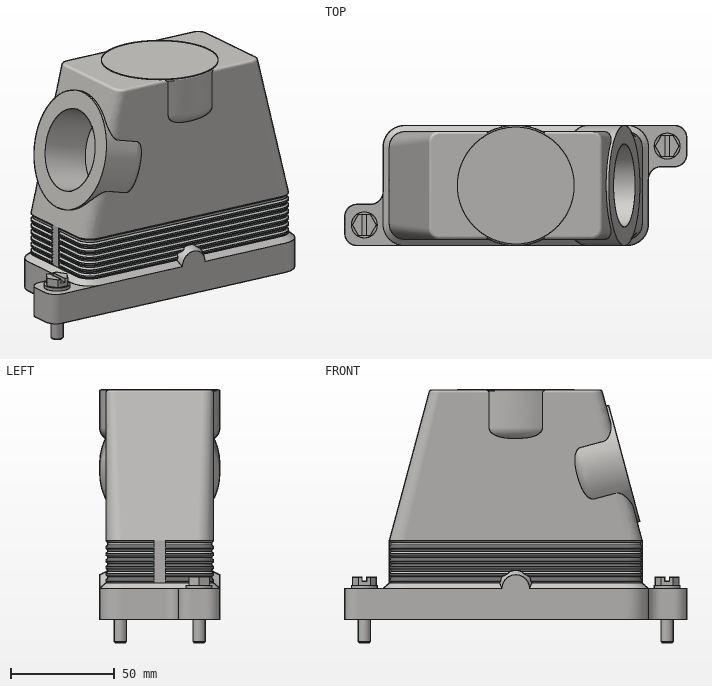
import cadquery as cq
import math

flange_length = 128.0
flange_width = 58.0
flange_height = 15.0
flange_corner = 10.5

ear_reach = 82.5
ear_width = 20.0
ear_corner = 6.0

collar_inset = 3.0
collar_height = 2.6

band_top = 38.0
band_depth = 0.9
rib_count = 6
rib_pitch = 3.2
rib_crest = 0.7
rib_first_drop = 3.3
pad_width = 5.5

hood_top = 110.7
end_slope = 15.0
hood_top_corner = 5.0
top_edge_radius = 1.4

boss_diameter = 58.0
boss_depth = 24.3
boss_inner_radius = 6.0
boss_rim_radius = 0.5
lid_diameter = 56.4
lid_height = 0.3
side_boss_height = 75.3
side_boss_proud = 1.3
bore_diameter = 40.0

bump_face_radius = 6.6
bump_root_radius = 8.6

screw_x = 73.0
shank_diameter = 6.0
shank_reach = 11.2
shank_chamfer = 0.6
washer_diameter = 12.5
washer_height = 1.5
head_across_flats = 10.0
head_height = 4.0
slot_width = 2.2
slot_depth = 2.0

collar_top = flange_height + collar_height
hood_length = flange_length - 2 * collar_inset
hood_width = flange_width - 2 * collar_inset
hood_corner = flange_corner - collar_inset
slope = math.radians(end_slope)
hood_top_length = hood_length - 2 * (hood_top - band_top) * math.tan(slope)
ear_y = (flange_width - ear_width) / 2
screw_places = [(-screw_x, -ear_y), (screw_x, ear_y)]


def rounded_block(length, width, height, corner, bottom):
    """Upright block with rounded vertical edges, centred on the Z axis."""
    block = cq.Workplane("XY", origin=(0, 0, bottom)).rect(length, width).extrude(height)
    return block.edges("|Z").fillet(corner)


def rounded_outline(length, width, corner, height):
    """Rounded rectangle at one height, for lofting."""
    outline = cq.Sketch().rect(length, width).vertices().fillet(corner)
    return outline.moved(cq.Location(cq.Vector(0, 0, height)))


def loft(lower, upper):
    return cq.Workplane("XY").placeSketch(lower, upper).loft(ruled=True)


def make_flange():
    """Rounded base plate with one ear at each of two opposite corners."""
    flange = rounded_block(flange_length, flange_width, flange_height, flange_corner, 0)
    half_length = flange_length / 2
    inner_y = flange_width / 2 - ear_width
    root_x = half_length - flange_corner
    for turn in (0, 180):
        ear = (
            cq.Workplane("XY")
            .moveTo(root_x, flange_width / 2)
            .lineTo(ear_reach - ear_corner, flange_width / 2)
            .radiusArc((ear_reach, flange_width / 2 - ear_corner), ear_corner)
            .lineTo(ear_reach, inner_y + ear_corner)
            .radiusArc((ear_reach - ear_corner, inner_y), ear_corner)
            .lineTo(half_length + ear_corner, inner_y)
            .radiusArc((half_length, inner_y - ear_corner), -ear_corner)
            .lineTo(root_x, inner_y - ear_corner)
            .close()
            .extrude(flange_height)
        )
        flange = flange.union(ear.rotate((0, 0, 0), (0, 0, 1), turn))
    return flange


def make_collar():
    """Sloping step from the flange outline in to the hood outline."""
    return loft(
        rounded_outline(flange_length, flange_width, flange_corner, flange_height),
        rounded_outline(hood_length, hood_width, hood_corner, collar_top),
    )


def make_band():
    """Recessed wall carrying flat-topped ribs, with a smooth pad across them on each end."""
    wall_length = hood_length - 2 * band_depth
    wall_width = hood_width - 2 * band_depth
    wall_corner = hood_corner - band_depth
    lip_bottom = band_top - band_depth
    band = rounded_block(wall_length, wall_width, lip_bottom - collar_top, wall_corner, collar_top)
    lip = loft(
        rounded_outline(wall_length, wall_width, wall_corner, lip_bottom),
        rounded_outline(hood_length, hood_width, hood_corner, band_top),
    )
    band = band.union(lip)
    rib_height = rib_crest + 2 * band_depth
    for index in range(rib_count):
        rib_bottom = band_top - rib_first_drop - index * rib_pitch - rib_height / 2
        rib = rounded_block(hood_length, hood_width, rib_height, hood_corner, rib_bottom)
        band = band.union(rib.faces(">Z or <Z").edges().chamfer(band_depth))
    pads = cq.Workplane("XY", origin=(0, 0, collar_top)).rect(hood_length, pad_width)
    return band.union(pads.extrude(band_top - collar_top))


def make_hood():
    """Tapered cover whose ends lean inward, with a rounded top edge."""
    hood = loft(
        rounded_outline(hood_length, hood_width, hood_corner, band_top),
        rounded_outline(hood_top_length, hood_width, hood_top_corner, hood_top),
    )
    return hood.faces(">Z").edges().fillet(top_edge_radius)


def make_boss():
    """Round cable-entry boss, outer face at the origin and body running down -Z."""
    boss = cq.Workplane("XY").circle(boss_diameter / 2).extrude(-boss_depth)
    return boss.faces("<Z").edges().fillet(boss_inner_radius)


def make_bump():
    """Coned bump in the middle of the +Y long side, its lower half sunk in the flange."""
    half_width = flange_width / 2
    root_y = hood_width / 2 - band_depth
    bump = (
        cq.Workplane("XY")
        .moveTo(0, root_y)
        .lineTo(bump_root_radius, root_y)
        .lineTo(bump_face_radius, half_width)
        .lineTo(0, half_width)
        .close()
        .revolve(360, (0, 0, 0), (0, 1, 0))
    )
    return bump.translate((0, 0, flange_height))


def place_on_end(body):
    """Lean a boss-aligned body over and put it on the +X end face."""
    end_face_x = hood_length / 2 - (side_boss_height - band_top) * math.tan(slope)
    face_x = end_face_x + side_boss_proud / math.cos(slope)
    leaned = body.rotate((0, 0, 0), (0, 1, 0), 90 - end_slope)
    return leaned.translate((face_x, 0, side_boss_height))


def make_housing():
    housing = make_flange().union(make_collar()).union(make_band()).union(make_hood())
    for turn in (0, 180):
        housing = housing.union(make_bump().rotate((0, 0, 0), (0, 0, 1), turn))
    top_boss = make_boss().faces(">Z").edges().fillet(boss_rim_radius)
    housing = housing.union(top_boss.translate((0, 0, hood_top)))
    lid = cq.Workplane("XY", origin=(0, 0, hood_top)).circle(lid_diameter / 2).extrude(lid_height)
    housing = housing.union(lid)
    housing = housing.union(place_on_end(make_boss()))
    bore = cq.Workplane("XY").circle(bore_diameter / 2).extrude(-boss_depth)
    housing = housing.cut(place_on_end(bore))
    holes = cq.Workplane("XY").pushPoints(screw_places).circle(shank_diameter / 2)
    return housing.cut(holes.extrude(flange_height))


def make_screw():
    """Slotted hexagon screw with its washer face on the flange."""
    shank = cq.Workplane("XY", origin=(0, 0, -shank_reach)).circle(shank_diameter / 2)
    shank = shank.extrude(shank_reach + flange_height).faces("<Z").chamfer(shank_chamfer)
    washer = cq.Workplane("XY", origin=(0, 0, flange_height)).circle(washer_diameter / 2)
    washer = washer.extrude(washer_height)
    head_bottom = flange_height + washer_height
    across_corners = head_across_flats / math.cos(math.pi / 6)
    head = cq.Workplane("XY", origin=(0, 0, head_bottom)).polygon(6, across_corners)
    head = head.extrude(head_height)
    slot = cq.Workplane("XY", origin=(0, 0, head_bottom + head_height))
    slot = slot.rect(slot_width, across_corners).extrude(-slot_depth)
    return shank.union(washer).union(head).cut(slot)


housing = make_housing()
screws = [make_screw().translate((x, y, 0)) for x, y in screw_places]

result = cq.Compound.makeCompound([housing.val(), *[screw.val() for screw in screws]])